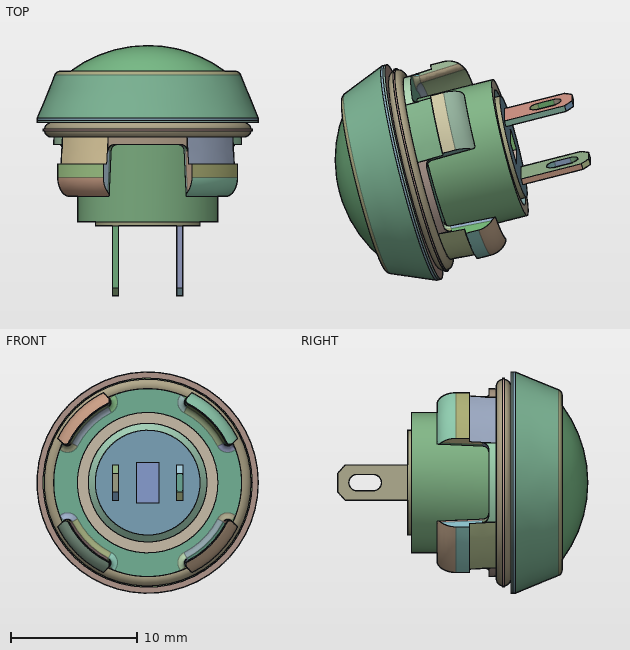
import cadquery as cq
import math


overall_length = 19.81

flange_radius = 8.765
flange_thickness = 0.17
band_front = 0.36
bezel_front = 4.07
bezel_front_radius = 7.24
bezel_edge_fillet = 0.47
dome_radius = 6.11
dome_height = 2.03

ring_section_radius = 0.58
ring_mean_radius = 7.61
flash_radius = 8.28
flash_thickness = 0.14

hub_radius = 7.44
hub_rear = -1.74
neck_radius = ring_mean_radius - ring_section_radius
neck_rear = -1.14

clip_count = 4
clip_first_angle = 45
clip_half_width = 2.56
clip_root_radius = hub_radius
clip_waist_radius = 7.59
clip_hook_radius = 7.94
clip_hook_front = -3.27
clip_hook_rear = -4.35
clip_tip = -5.84
clip_inner_root_radius = 6.68
clip_inner_tip_radius = 6.95
clip_outer_tip_radius = 7.03
clip_corner_radius = 0.4
clip_root_fillet = 0.5

blade_outer_radius = clip_hook_radius + 1
blank_radius = blade_outer_radius + 2

barrel_radius = 5.56
barrel_bore_radius = 4.7
barrel_rear = -7.87
plug_radius = 4.15
plug_rear = -8.17
plug_shoulder = -7.58
plug_slot_width = 1.76
plug_slot_height = 3.19
plug_slot_depth = 1.14

terminal_offset = 2.54
terminal_thickness = 0.5
terminal_height = 2.82
terminal_tip = bezel_front + dome_height - overall_length
terminal_corner_length = 0.61
terminal_corner_height = 0.67
eyelet_length = 2.56
eyelet_height = 1.28
eyelet_inset = 2.18
eyelet_centre = terminal_tip + eyelet_inset


def turn(outline):
    """Revolve a closed outline of (radius, y) points about the Y axis."""
    return outline.close().revolve(360, (0, 0, 0), (0, 1, 0))


def turned_polygon(points):
    """Revolve a straight-sided outline about the Y axis."""
    return turn(cq.Workplane("XY").polyline(points))


def make_bezel():
    """Conical ring with a short cylindrical band at the back and a rounded front edge."""
    bezel = turned_polygon([
        (dome_radius, flange_thickness),
        (flange_radius, flange_thickness),
        (flange_radius, band_front),
        (bezel_front_radius, bezel_front),
        (dome_radius, bezel_front),
    ])
    outer_edge = cq.selectors.RadiusNthSelector(-1)
    return bezel.faces(">Y").edges(outer_edge).fillet(bezel_edge_fillet)


def make_dome():
    """Plunger that fills the bezel's bore and ends in a spherical cap."""
    sphere_radius = (dome_radius**2 + dome_height**2) / (2 * dome_height)
    apex = bezel_front + dome_height
    mid_radius = dome_radius / 2
    mid_y = apex - sphere_radius + math.sqrt(sphere_radius**2 - mid_radius**2)
    outline = (
        cq.Workplane("XY")
        .moveTo(0, flange_thickness)
        .lineTo(dome_radius, flange_thickness)
        .lineTo(dome_radius, bezel_front)
        .threePointArc((mid_radius, mid_y), (0, apex))
    )
    return turn(outline)


def make_oring():
    """Round-section ring with a thin flash around its outside."""
    centre_y = -ring_section_radius
    ring = (
        cq.Workplane("XY")
        .center(ring_mean_radius, centre_y)
        .circle(ring_section_radius)
        .revolve(360, (-ring_mean_radius, 0, 0), (-ring_mean_radius, 1, 0))
    )
    flash_front = centre_y + flash_thickness / 2
    flash_rear = centre_y - flash_thickness / 2
    flash = turned_polygon([
        (ring_mean_radius, flash_rear),
        (flash_radius, flash_rear),
        (flash_radius, flash_front),
        (ring_mean_radius, flash_front),
    ])
    return ring.union(flash)


def around_clips(item):
    """Copies of a +X item turned to the place of every clip."""
    turns = [clip_first_angle + index * 360 / clip_count for index in range(clip_count)]
    return [item.rotate((0, 0, 0), (0, 1, 0), angle) for angle in turns]


def make_clip_sector():
    """Block on the +X side between the side faces of one clip."""
    length = neck_rear - clip_tip
    width = 2 * clip_half_width
    sector = cq.Workplane("XY").box(blank_radius, length, width, centered=(False, False, True))
    return sector.translate((0, clip_tip, 0))


def make_clip_blade():
    """Oversized clip on the +X side with its final inner face, sides and rounded inner corners."""
    ring = turned_polygon([
        (clip_inner_root_radius, neck_rear),
        (blade_outer_radius, neck_rear),
        (blade_outer_radius, clip_tip),
        (clip_inner_tip_radius, clip_tip),
    ])
    blade = ring.intersect(make_clip_sector())
    inner_corners = blade.edges("%HYPERBOLA").edges("<X")
    return inner_corners.fillet(clip_corner_radius)


def make_disc(radius, rear):
    """Disc on the Y axis from the rear end of the O-ring neck back to `rear`."""
    return cq.Workplane("XZ", origin=(0, neck_rear, 0)).circle(radius).extrude(neck_rear - rear)


def make_clip_crown():
    """Oversized hub plate carrying the clip blades, with a fillet around the foot of each blade."""
    crown = make_disc(blank_radius, hub_rear)
    for blade in around_clips(make_clip_blade()):
        crown = crown.union(blade)
    rim_length = 2 * math.pi * blank_radius
    rear_face = crown.faces(cq.selectors.NearestToPointSelector((0, hub_rear, 0)))
    foot_edges = rear_face.edges().filter(lambda edge: edge.Length() < rim_length / 2)
    return foot_edges.fillet(clip_root_fillet)


def make_hook_envelope():
    """Turned outside of the clips: flared waist, hook band and rounded nose."""
    drop = clip_hook_rear - clip_tip
    reach = clip_hook_radius - clip_outer_tip_radius
    nose_radius = (drop**2 + reach**2) / (2 * reach)
    half_angle = math.asin(drop / nose_radius) / 2
    nose_middle = (
        clip_hook_radius - nose_radius * (1 - math.cos(half_angle)),
        clip_hook_rear - nose_radius * math.sin(half_angle),
    )
    outline = (
        cq.Workplane("XY")
        .moveTo(0, neck_rear)
        .lineTo(clip_root_radius, neck_rear)
        .lineTo(clip_waist_radius, clip_hook_front)
        .lineTo(clip_hook_radius, clip_hook_front)
        .lineTo(clip_hook_radius, clip_hook_rear)
        .threePointArc(nose_middle, (clip_outer_tip_radius, clip_tip))
        .lineTo(0, clip_tip)
    )
    return turn(outline)


def make_housing():
    """Flange, O-ring neck and hub with the snap clips."""
    front = turned_polygon([
        (0, flange_thickness),
        (flange_radius, flange_thickness),
        (flange_radius, 0),
        (neck_radius, 0),
        (neck_radius, neck_rear),
        (0, neck_rear),
    ])
    hub_and_sectors = make_disc(hub_radius, clip_tip)
    for sector in around_clips(make_clip_sector()):
        hub_and_sectors = hub_and_sectors.union(sector)
    rear = make_clip_crown().intersect(make_hook_envelope()).intersect(hub_and_sectors)
    return front.union(rear)


def make_barrel():
    """Tube behind the hub that holds the plug."""
    return turned_polygon([
        (barrel_bore_radius, hub_rear),
        (barrel_radius, hub_rear),
        (barrel_radius, barrel_rear),
        (barrel_bore_radius, barrel_rear),
    ])


def make_plug():
    """Plug filling the barrel's bore, with a conical shoulder and a blind slot in its rear face."""
    chamfer = barrel_bore_radius - plug_radius
    plug = turned_polygon([
        (0, hub_rear),
        (barrel_bore_radius, hub_rear),
        (barrel_bore_radius, plug_shoulder + chamfer),
        (plug_radius, plug_shoulder),
        (plug_radius, plug_rear),
        (0, plug_rear),
    ])
    slot = cq.Workplane("XY").box(plug_slot_width, 2 * plug_slot_depth, plug_slot_height)
    return plug.cut(slot.translate((0, plug_rear, 0)))


def make_terminal(side):
    """Solder blade behind the plug, on the -X side (side = -1) or the +X side (side = 1)."""
    half_height = terminal_height / 2
    tip_half_height = half_height - terminal_corner_height
    corner_y = terminal_tip + terminal_corner_length
    blade = (
        cq.Workplane("YZ")
        .polyline([
            (plug_rear, half_height),
            (corner_y, half_height),
            (terminal_tip, tip_half_height),
            (terminal_tip, -tip_half_height),
            (corner_y, -half_height),
            (plug_rear, -half_height),
        ])
        .close()
        .extrude(terminal_thickness / 2, both=True)
    )
    eyelet = (
        cq.Workplane("YZ")
        .center(eyelet_centre, 0)
        .slot2D(eyelet_length, eyelet_height)
        .extrude(terminal_thickness, both=True)
    )
    return blade.cut(eyelet).translate((side * terminal_offset, 0, 0))


bezel = make_bezel()
dome = make_dome()
oring = make_oring()
housing = make_housing()
barrel = make_barrel()
plug = make_plug()
terminals = [make_terminal(side) for side in (-1, 1)]

result = cq.Compound.makeCompound([
    bezel.val(),
    dome.val(),
    oring.val(),
    housing.val(),
    barrel.val(),
    plug.val(),
    *[terminal.val() for terminal in terminals],
])